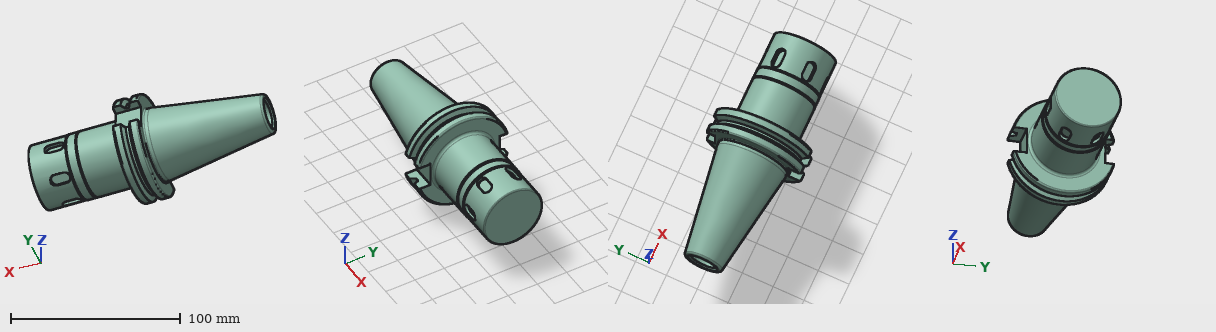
import cadquery as cq
import math

overall_length = 144.53

taper_length = 68.25
gauge_diameter = 44.45
small_end_diameter = 24.0
small_end_round = 1.5
collar_fillet = 0.9

flange_diameter = 63.26
collar_length = 3.18
flange_start = taper_length + collar_length
flange_width = 15.88
flange_end = flange_start + flange_width
flange_round = 1.0
groove_distance = 11.1
groove_center = taper_length + groove_distance
groove_floor_diameter = 56.4
groove_floor_width = 2.0
groove_mouth_width = 5.9

slot_width = 16.26
slot_floor_plus_y = 25.02
slot_floor_minus_y = 22.61

body_diameter = 40.56
neck_round = 1.7
body_end = 114.0
ring_diameter = 40.44
nut_start = 121.2
relief_diameter = 39.8
relief_width = 0.7
nut_diameter = 40.0
nut_round = 0.7

wrench_slot_count = 6
wrench_slot_center = 128.05
wrench_slot_length = 12.3
wrench_slot_width = 6.5
wrench_slot_depth = 2.7

counterbore_diameter = 16.26
counterbore_depth = 8.0
counterbore_mouth_diameter = 18.9
counterbore_chamfer = (counterbore_mouth_diameter - counterbore_diameter) / 2
bore_diameter = 13.39
bore_depth = 30.0


def cylinder(diameter, start, end):
    """Round bar along X between two stations."""
    return cq.Workplane("YZ", origin=(start, 0, 0)).circle(diameter / 2).extrude(end - start)


def taper_shank():
    return (
        cq.Workplane("XY")
        .polyline([
            (0, 0),
            (0, small_end_diameter / 2),
            (taper_length, gauge_diameter / 2),
            (flange_start, gauge_diameter / 2),
            (flange_start, 0),
        ])
        .close()
        .revolve(360, (0, 0, 0), (1, 0, 0))
        .faces("<X")
        .edges()
        .fillet(small_end_round)
    )


def flange():
    rim = flange_diameter / 2
    floor = groove_floor_diameter / 2
    half_mouth = groove_mouth_width / 2
    half_floor = groove_floor_width / 2
    disc = cylinder(flange_diameter, flange_start, flange_end)
    disc = disc.faces("<X or >X").edges().fillet(flange_round)
    groove = (
        cq.Workplane("XY")
        .polyline([
            (groove_center - half_mouth, rim),
            (groove_center - half_floor, floor),
            (groove_center + half_floor, floor),
            (groove_center + half_mouth, rim),
        ])
        .close()
        .revolve(360, (0, 0, 0), (1, 0, 0))
    )
    return disc.cut(groove)


def drive_slot(side, floor):
    """Block that cuts a drive slot on the +Y (side = 1) or -Y (side = -1) rim and collar fillet."""
    depth = flange_diameter / 2 - floor
    length = collar_fillet + flange_width
    center = (flange_end - length / 2, side * (floor + depth / 2), 0)
    return cq.Workplane("XY").box(length, depth, slot_width).translate(center)


def corner_fillet(face, direction, bar_diameter, radius):
    """Concave ring in the corner between a flange face and the bar that leaves it along direction."""
    bar = bar_diameter / 2
    bend = radius * (1 - math.sqrt(0.5))
    return (
        cq.Workplane("XY")
        .moveTo(face, 0)
        .lineTo(face, bar + radius)
        .threePointArc((face + direction * bend, bar + bend), (face + direction * radius, bar))
        .lineTo(face + direction * radius, 0)
        .close()
        .revolve(360, (0, 0, 0), (1, 0, 0))
    )


def front_end():
    body = cylinder(body_diameter, flange_end, body_end)
    ring = cylinder(ring_diameter, body_end, nut_start)
    nut = cylinder(nut_diameter, nut_start, overall_length).faces(">X").edges().fillet(nut_round)
    bar = body.union(ring).union(nut)
    for start in (body_end, nut_start - relief_width):
        relief = cylinder(body_diameter, start, start + relief_width)
        bar = bar.cut(relief.cut(cylinder(relief_diameter, start, start + relief_width)))
    return bar


def wrench_slots():
    """Flat-floored slots evenly spaced around the nut, the first on the -Y side."""
    cutter = (
        cq.Workplane("XZ", origin=(wrench_slot_center, wrench_slot_depth - nut_diameter / 2, 0))
        .slot2D(wrench_slot_length, wrench_slot_width)
        .extrude(nut_diameter)
    )
    step = 360 / wrench_slot_count
    return [cutter.rotate((0, 0, 0), (1, 0, 0), index * step) for index in range(wrench_slot_count)]


def small_end_bore():
    mouth = (
        cq.Workplane("YZ")
        .circle(counterbore_mouth_diameter / 2)
        .workplane(offset=counterbore_chamfer)
        .circle(counterbore_diameter / 2)
        .loft()
    )
    counterbore = cylinder(counterbore_diameter, 0, counterbore_depth)
    return mouth.union(counterbore).union(cylinder(bore_diameter, 0, bore_depth))


result = taper_shank().union(flange()).union(front_end())
result = result.union(corner_fillet(flange_start, -1, gauge_diameter, collar_fillet))
result = result.union(corner_fillet(flange_end, 1, body_diameter, neck_round))
result = result.cut(drive_slot(1, slot_floor_plus_y)).cut(drive_slot(-1, slot_floor_minus_y))
for wrench_slot in wrench_slots():
    result = result.cut(wrench_slot)
result = result.cut(small_end_bore())